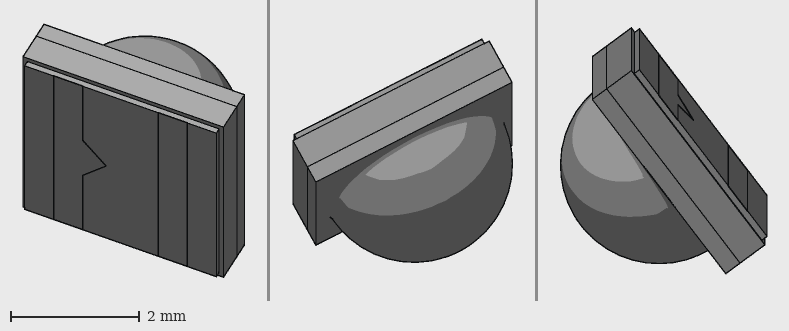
import cadquery as cq
import math

side = 3.45
plate_side = 3.298
plate_thickness = 0.1
strip_thickness = 0.007
substrate_thickness = 0.48
cover_thickness = 0.28
dome_radius = 1.532
dome_fillet = 0.14
strip_inner_x = 0.65
strip_width = 0.5
mark_size = 0.4

strip_outer_x = strip_inner_x + strip_width
plate_half = plate_side / 2
substrate_front_y = plate_thickness
cover_front_y = substrate_front_y + substrate_thickness
cover_back_y = cover_front_y + cover_thickness


def slab(width, height, depth, front_y, center_x=0):
    """Rectangular block reaching from front_y towards +Y."""
    return cq.Workplane("XY").box(width, depth, height).translate((center_x, front_y + depth / 2, 0))


def make_lens():
    """Square cover plate with a hemispherical dome blended into its back face."""
    fillet_center_r = math.sqrt((dome_radius + dome_fillet) ** 2 - dome_fillet ** 2)
    contact = dome_radius / (dome_radius + dome_fillet)
    contact_r = fillet_center_r * contact
    contact_y = cover_back_y + dome_fillet * contact
    dome_mid = dome_radius * math.sqrt(0.5)
    fillet_mid_angle = (math.asin(dome_fillet / (dome_radius + dome_fillet)) + math.pi / 2) / 2
    fillet_mid = (
        fillet_center_r - dome_fillet * math.cos(fillet_mid_angle),
        cover_back_y + dome_fillet - dome_fillet * math.sin(fillet_mid_angle),
    )
    dome = (
        cq.Workplane("ZY")
        .moveTo(0, cover_front_y)
        .lineTo(fillet_center_r, cover_front_y)
        .lineTo(fillet_center_r, cover_back_y)
        .threePointArc(fillet_mid, (contact_r, contact_y))
        .threePointArc((dome_mid, cover_back_y + dome_mid), (0, cover_back_y + dome_radius))
        .close()
        .revolve(360, (0, 0, 0), (0, 1, 0))
    )
    return slab(side, side, cover_thickness, cover_front_y).union(dome)


def make_substrate():
    """Square block between the lens and the plate."""
    return slab(side, side, substrate_thickness, substrate_front_y)


def make_plate(strips):
    """Square plate set in from the substrate edges, with a shallow channel for each strip."""
    plate = slab(plate_side, plate_side, plate_thickness, 0)
    for strip in strips:
        plate = plate.cut(strip)
    return plate


def make_pointed_strip():
    """Left inlaid strip, with a pointed polarity mark on its inner edge."""
    outline = [
        (-strip_outer_x, -plate_half),
        (-strip_inner_x, -plate_half),
        (-strip_inner_x, -mark_size),
        (-strip_inner_x + mark_size, 0),
        (-strip_inner_x, mark_size),
        (-strip_inner_x, plate_half),
        (-strip_outer_x, plate_half),
    ]
    return cq.Workplane("XZ").polyline(outline).close().extrude(-strip_thickness)


def make_plain_strip():
    """Right inlaid strip, a plain rectangle."""
    return slab(strip_width, plate_side, strip_thickness, 0, strip_inner_x + strip_width / 2)


lens = make_lens()
substrate = make_substrate()
pointed_strip = make_pointed_strip()
plain_strip = make_plain_strip()
plate = make_plate([pointed_strip, plain_strip])

result = cq.Compound.makeCompound(
    [lens.val(), substrate.val(), plate.val(), pointed_strip.val(), plain_strip.val()]
)